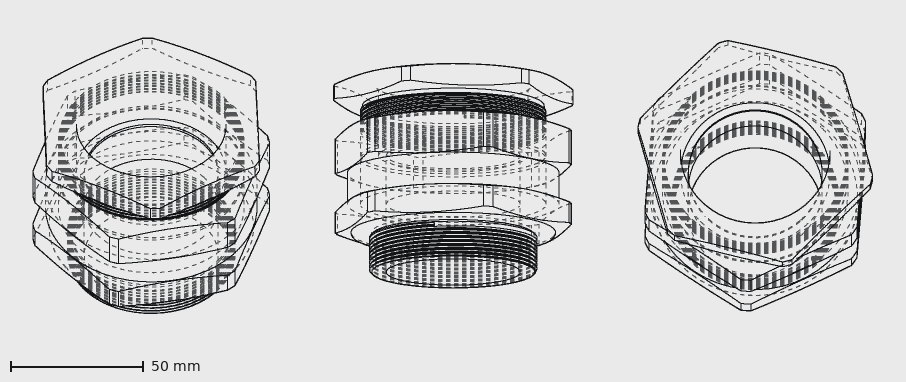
import cadquery as cq
import math

HEX_SIDES = 6
ACROSS_FLATS = 80.1
CORNER_DIAMETER = 90.4
FACE_CIRCLE_DIAMETER = 79.7
HEX_CHAMFER_ANGLE = 15.0
BARREL_RADIUS = FACE_CIRCLE_DIAMETER / 2
NUT_TURN = 20.0

GASKET_BOTTOM = 14.0
LOWER_HEX_BOTTOM = 15.2
LOWER_HEX_TOP = 26.0
UPPER_HEX_BOTTOM = 38.05
UPPER_HEX_TOP = 54.0
NECK_BOTTOM = 62.0
NUT_HEX_BOTTOM = 63.7
OVERALL_HEIGHT = 72.0

PITCH = 1.5
ROOT_FLAT = PITCH / 6
FLANK_ANGLE = 30.0
ENTRY_THREAD_RADIUS = 31.5
ENTRY_THREAD_DEPTH = 0.9
ENTRY_GROOVE_OFFSET = 0.23
ENTRY_GROOVE_TURNS = 9
ENTRY_CHAMFER = 0.8
NUT_THREAD_RADIUS = 34.9
NUT_THREAD_DEPTH = 0.6
NUT_GROOVE_OFFSET = 0.2
NUT_GROOVE_TURNS = 7
GROOVE_OVERHANG = 0.1

NUT_BORE_RADIUS = 28.1
NUT_MOUTH_FILLET = 3.0
ENTRY_BORE_RADIUS = 25.2

WASHER_TOP = 44.6
WASHER_THICKNESS = 1.2
WASHER_BOTTOM = WASHER_TOP - WASHER_THICKNESS
SEAL_BOTTOM = LOWER_HEX_TOP
THREAD_CLEARANCE = 0.1
SOCKET_RADIUS = NUT_THREAD_RADIUS + THREAD_CLEARANCE
GASKET_RADIUS = 38.5
GASKET_FILLET = 1.1
GASKET_SEAT_RADIUS = ENTRY_THREAD_RADIUS - ENTRY_CHAMFER


def cylinder(radius, bottom, top):
    return cq.Workplane("XY").workplane(offset=bottom).circle(radius).extrude(top - bottom)


def ring(outer_radius, inner_radius, bottom, top):
    return cylinder(outer_radius, bottom, top).cut(cylinder(inner_radius, bottom, top))


def chamfered_hexagon(bottom, top):
    """Hexagonal prism with flats facing +X and -X, trimmed at its corners and both faces."""
    corner_radius = CORNER_DIAMETER / 2
    face_radius = FACE_CIRCLE_DIAMETER / 2
    drop = (corner_radius - face_radius) * math.tan(math.radians(HEX_CHAMFER_ANGLE))
    prism = (
        cq.Workplane("XY")
        .workplane(offset=bottom)
        .polygon(HEX_SIDES, ACROSS_FLATS, circumscribed=True)
        .extrude(top - bottom)
    )
    envelope = (
        cq.Workplane("XZ")
        .moveTo(0, bottom)
        .lineTo(face_radius, bottom)
        .lineTo(corner_radius, bottom + drop)
        .lineTo(corner_radius, top - drop)
        .lineTo(face_radius, top)
        .lineTo(0, top)
        .close()
        .revolve(360, (0, 0, 0), (0, 1, 0))
    )
    return prism.intersect(envelope)


def thread_groove(radius, depth, start, height):
    """Right-hand helical V-groove with a flat root, starting at +X."""
    root_radius = radius - depth
    lip_radius = radius + GROOVE_OVERHANG
    slope = math.tan(math.radians(FLANK_ANGLE))
    root_half = ROOT_FLAT / 2
    lip_half = root_half + (depth + GROOVE_OVERHANG) * slope
    path = cq.Wire.makeHelix(PITCH, height, radius).translate(cq.Vector(0, 0, start))
    return (
        cq.Workplane("XZ")
        .moveTo(root_radius, start - root_half)
        .lineTo(lip_radius, start - lip_half)
        .lineTo(lip_radius, start + lip_half)
        .lineTo(root_radius, start + root_half)
        .close()
        .sweep(cq.Workplane(path), isFrenet=True)
    )


def entry_stud():
    """Solid threaded end with a chamfer at both ends of the thread."""
    blank = cylinder(ENTRY_THREAD_RADIUS, 0, GASKET_BOTTOM)
    end_trims = blank.cut(blank.faces("<Z or >Z").chamfer(ENTRY_CHAMFER))
    groove = thread_groove(
        ENTRY_THREAD_RADIUS,
        ENTRY_THREAD_DEPTH,
        ENTRY_GROOVE_OFFSET - PITCH,
        ENTRY_GROOVE_TURNS * PITCH,
    )
    return blank.cut(groove).cut(end_trims)


def make_gland_body():
    """Threaded entry, gasket seat, lower hexagon, barrel and upper hexagon with a plain socket."""
    body = (
        entry_stud()
        .union(cylinder(GASKET_SEAT_RADIUS, GASKET_BOTTOM, LOWER_HEX_BOTTOM))
        .union(chamfered_hexagon(LOWER_HEX_BOTTOM, LOWER_HEX_TOP))
        .union(cylinder(BARREL_RADIUS, LOWER_HEX_TOP, UPPER_HEX_BOTTOM))
        .union(chamfered_hexagon(UPPER_HEX_BOTTOM, UPPER_HEX_TOP))
    )
    bore = cylinder(ENTRY_BORE_RADIUS, 0, SEAL_BOTTOM)
    socket = cylinder(SOCKET_RADIUS, SEAL_BOTTOM, UPPER_HEX_TOP)
    return body.cut(bore).cut(socket)


def make_gasket():
    """Flat ring under the lower hexagon, rounded at its lower outer rim."""
    gasket = ring(GASKET_RADIUS, GASKET_SEAT_RADIUS, GASKET_BOTTOM, LOWER_HEX_BOTTOM)
    outer_rim = cq.selectors.RadiusNthSelector(-1)
    return gasket.faces("<Z").edges(outer_rim).fillet(GASKET_FILLET)


def make_seal():
    return ring(SOCKET_RADIUS, ENTRY_BORE_RADIUS, SEAL_BOTTOM, WASHER_BOTTOM)


def make_washer():
    return ring(SOCKET_RADIUS, ENTRY_BORE_RADIUS, WASHER_BOTTOM, WASHER_TOP)


def make_clamping_nut():
    """Hexagonal nut on a threaded shank, with a bore rounded at its mouth."""
    neck_radius = NUT_THREAD_RADIUS - NUT_THREAD_DEPTH
    groove = thread_groove(
        NUT_THREAD_RADIUS,
        NUT_THREAD_DEPTH,
        UPPER_HEX_TOP - PITCH + NUT_GROOVE_OFFSET,
        NUT_GROOVE_TURNS * PITCH,
    )
    shank = cylinder(NUT_THREAD_RADIUS, WASHER_TOP, NECK_BOTTOM).cut(groove)
    neck = cylinder(neck_radius, NECK_BOTTOM, NUT_HEX_BOTTOM)
    head = chamfered_hexagon(NUT_HEX_BOTTOM, OVERALL_HEIGHT)
    bore = cylinder(NUT_BORE_RADIUS, WASHER_TOP, OVERALL_HEIGHT)
    nut = shank.union(neck).union(head).cut(bore)
    mouth = cq.selectors.RadiusNthSelector(0)
    return nut.faces(">Z").edges(mouth).fillet(NUT_MOUTH_FILLET).rotate((0, 0, 0), (0, 0, 1), NUT_TURN)


gland_body = make_gland_body()
gasket = make_gasket()
seal = make_seal()
washer = make_washer()
clamping_nut = make_clamping_nut()

result = cq.Compound.makeCompound(
    [gland_body.val(), gasket.val(), seal.val(), washer.val(), clamping_nut.val()]
)